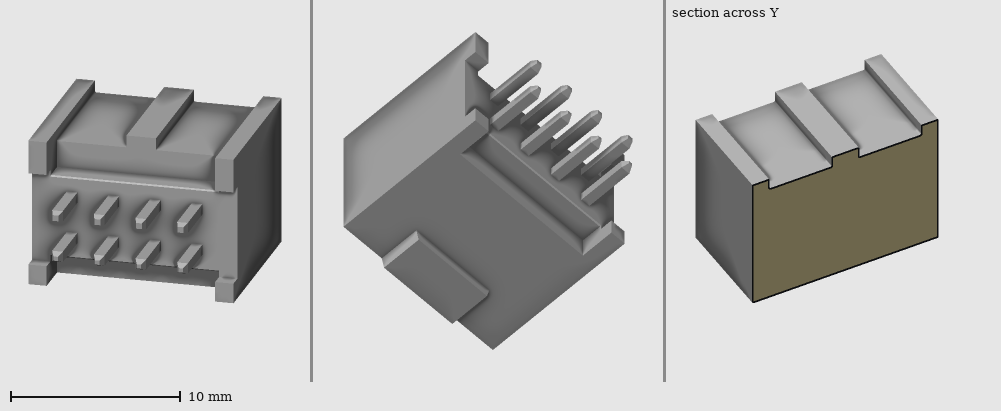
import cadquery as cq

width = 12.5
total_length = 13.8
total_height = 9.75

tab_height = 0.76
body_height = total_height - tab_height
base_y = -10.05
side_wall = 1.12
inner_width = width - 2 * side_wall

foot_end_y = -10.92
upper_foot_height = 2.04
lower_foot_height = 1.23

channel_depth = 0.75
key_width = 1.81
wall_fillet = 0.11
key_fillet = 0.07

step_y = -8.55
upper_step_depth = 2.45
lower_step_depth = 1.63
step_chamfer = 0.08

tab_root_width = 6.1
tab_tip_width = 5.71
tab_length = 2.87

pins_per_row = 4
pin_pitch = 2.54
pin_size = 0.65
pin_tip_length = 0.41
lower_row_z = 2.85
upper_row_z = lower_row_z + pin_pitch
upper_tip_size = 0.36
lower_tip_size = 0.26
pin_embed = 0.69


def block(x_size, y_front, y_back, z_low, z_high, x_center=0.0):
    """Box centred on x_center, spanning the given Y and Z ranges."""
    corner = (x_center - x_size / 2, y_front, z_low)
    return cq.Workplane("XY").box(x_size, y_back - y_front, z_high - z_low, centered=False).translate(corner)


def make_housing():
    """Solid block with four feet at the corners of the base face."""
    housing = block(width, base_y, 0, 0, body_height)
    foot_offset = (width - side_wall) / 2
    for x in (-foot_offset, foot_offset):
        lower_foot = block(side_wall, foot_end_y, base_y, 0, lower_foot_height, x)
        upper_foot = block(side_wall, foot_end_y, base_y, body_height - upper_foot_height, body_height, x)
        housing = housing.union(lower_foot).union(upper_foot)
    return housing


def make_channels():
    """Two top channels with rounded bottom corners, one on each side of the key."""
    channel_width = (inner_width - key_width) / 2
    channel_offset = (key_width + channel_width) / 2
    floor_z = body_height - channel_depth
    channel = block(channel_width, base_y, 0, floor_z, body_height, channel_offset)
    channel = channel.faces(">X").edges("<Z").fillet(wall_fillet)
    channel = channel.faces("<X").edges("<Z").fillet(key_fillet)
    return channel.union(channel.mirror("YZ"))


def make_step(edge_z, inward, depth):
    """Step cut from an edge of the base face; inward is the Z direction into the housing."""
    floor_z = edge_z + inward * (depth - step_chamfer)
    profile = [
        (base_y, edge_z),
        (step_y, edge_z),
        (step_y, floor_z),
        (base_y + step_chamfer, floor_z),
        (base_y, edge_z + inward * depth),
    ]
    return cq.Workplane("YZ").polyline(profile).close().extrude(inner_width / 2, both=True)


def make_tab():
    """Tapered tab under the housing, flush with the mating face."""
    profile = [
        (-tab_root_width / 2, 0),
        (tab_root_width / 2, 0),
        (tab_tip_width / 2, -tab_height),
        (-tab_tip_width / 2, -tab_height),
    ]
    return cq.Workplane("XZ").polyline(profile).close().extrude(tab_length)


def make_pin(x, z, tip_size):
    """Square pin with a tapered tip."""
    shoulder_y = -total_length + pin_tip_length
    shank = block(pin_size, shoulder_y, base_y + pin_embed, z - pin_size / 2, z + pin_size / 2, x)
    tip = (
        cq.Workplane("XZ", origin=(x, shoulder_y, z))
        .rect(pin_size, pin_size)
        .workplane(offset=pin_tip_length)
        .rect(tip_size, tip_size)
        .loft()
    )
    return shank.union(tip)


result = make_housing().cut(make_channels())
result = result.cut(make_step(body_height, -1, upper_step_depth))
result = result.cut(make_step(0, 1, lower_step_depth))
result = result.union(make_tab())

for row_z, tip_size in ((lower_row_z, lower_tip_size), (upper_row_z, upper_tip_size)):
    for column in range(pins_per_row):
        pin_x = (column - (pins_per_row - 1) / 2) * pin_pitch
        result = result.union(make_pin(pin_x, row_z, tip_size))